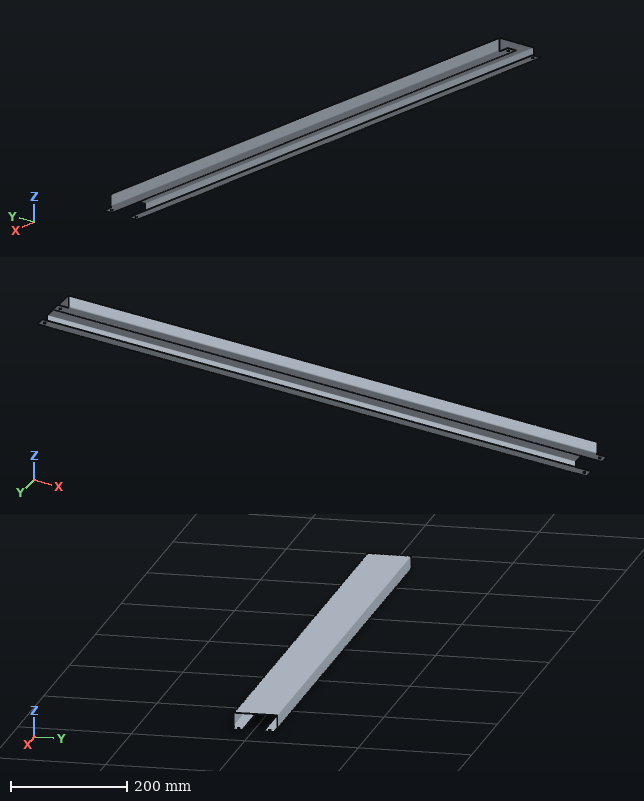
import cadquery as cq

length = 1075.0
width = 78.0
height = 26.0

thickness = 1.5
outer_bend_radius = 2.5
inner_bend_radius = outer_bend_radius - thickness
lip_reach = 20.0

tab_length = 20.0
body_length = length - 2 * tab_length
tab_width = lip_reach - outer_bend_radius

hole_diameter = 4.0
hole_end_distance = 10.0
hole_side_distance = 12.0


def rounded_bar(bar_width, bar_height, bend_radius):
    """Bar along X, centred on the channel, with its long edges rounded."""
    bar = cq.Workplane("XY").box(body_length, bar_width, bar_height)
    return bar.edges("|X").fillet(bend_radius)


def channel_body():
    """Bent sheet: web on top, two side walls and two inward lips below."""
    outside = rounded_bar(width, height, outer_bend_radius)
    inside = rounded_bar(width - 2 * thickness, height - 2 * thickness, inner_bend_radius)
    lip_gap = cq.Workplane("XY").box(
        body_length, width - 2 * lip_reach, height / 2, centered=(True, True, False)
    ).translate((0, 0, -height / 2))
    return outside.cut(inside).cut(lip_gap)


def lip_strip(side):
    """Full-length flat part of one lip, inward of its bend."""
    centre_y = side * (width / 2 - outer_bend_radius - tab_width / 2)
    strip = cq.Workplane("XY").box(length, tab_width, thickness, centered=(True, True, False))
    return strip.translate((0, centre_y, -height / 2))


def mounting_holes():
    """One vertical cutter through each of the four end tabs."""
    spacing_x = length - 2 * hole_end_distance
    spacing_y = width - 2 * hole_side_distance
    return (
        cq.Workplane("XY", origin=(0, 0, -height / 2))
        .rarray(spacing_x, spacing_y, 2, 2)
        .circle(hole_diameter / 2)
        .extrude(thickness)
    )


result = channel_body()
for side in (-1, 1):
    result = result.union(lip_strip(side))
result = result.cut(mounting_holes())